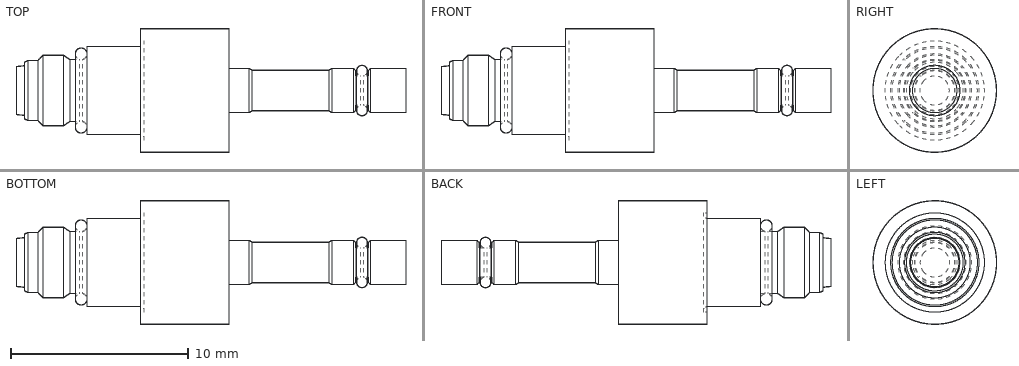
import cadquery as cq
import math

length = 22.0

tip_radius = 1.36
tip_flare_radius = 1.4
tip_length = 0.45
pilot_radius = 3.4 / 2
pilot_chamfer_radius = 1.6
pilot_chamfer_end = 0.65
pilot_end = 1.2
head_radius = 4.0 / 2
head_start = 1.5
head_end = 2.66
shoulder_radius = 1.87
shoulder_end = 2.84
neck_radius = 3.52 / 2
neck_start = 3.01

body_start = 3.98
body_radius = 5.0 / 2
collar_radius = 7.0 / 2
collar_length = 5.02
collar_start = 7.0
collar_end = collar_start + collar_length
recess_radius = 5.6 / 2
recess_depth = 0.2
recess_fillet = 0.18

shaft_radius = 2.5 / 2
waist_radius = 2.3 / 2
waist_start = 13.13
waist_end = 17.82
waist_taper_length = 0.18

nose_ring_section_radius = 0.33
nose_ring_center = body_start - nose_ring_section_radius
tail_ring_section_radius = 0.3
tail_ring_center = 19.51
groove_floor_radius = 1.65 / 2
groove_width = 0.7
groove_chamfer = 0.13


def revolve_about_x(profile):
    """Turn a closed profile of (x, radius) about the X axis."""
    return profile.revolve(360, (0, 0, 0), (1, 0, 0))


def seal_ring(center, inner_radius, section_radius):
    """Round-section ring whose inside touches inner_radius."""
    section = cq.Workplane("XY").center(center, inner_radius + section_radius).circle(section_radius)
    return section.revolve(360, (0, -inner_radius - section_radius, 0), (1, -inner_radius - section_radius, 0))


groove_start = tail_ring_center - groove_width / 2
groove_end = tail_ring_center + groove_width / 2

recess_floor = collar_start + recess_depth
fillet_start = recess_floor - recess_fillet
fillet_middle_offset = recess_fillet * math.sqrt(0.5)
fillet_middle = (
    fillet_start + fillet_middle_offset,
    body_radius + recess_fillet - fillet_middle_offset,
)

nose_outline = [
    (0, 0),
    (0, tip_radius),
    (tip_length, tip_flare_radius),
    (tip_length, pilot_chamfer_radius),
    (pilot_chamfer_end, pilot_radius),
    (pilot_end, pilot_radius),
    (head_start, head_radius),
    (head_end, head_radius),
    (shoulder_end, shoulder_radius),
    (neck_start, neck_radius),
    (body_start, neck_radius),
    (body_start, body_radius),
    (fillet_start, body_radius),
]
collar_and_tail_outline = [
    (recess_floor, recess_radius),
    (collar_start, recess_radius),
    (collar_start, collar_radius),
    (collar_end, collar_radius),
    (collar_end, shaft_radius),
    (waist_start, shaft_radius),
    (waist_start + waist_taper_length, waist_radius),
    (waist_end - waist_taper_length, waist_radius),
    (waist_end, shaft_radius),
    (groove_start - groove_chamfer, shaft_radius),
    (groove_start, shaft_radius - groove_chamfer),
    (groove_start, groove_floor_radius),
    (groove_end, groove_floor_radius),
    (groove_end, shaft_radius - groove_chamfer),
    (groove_end + groove_chamfer, shaft_radius),
    (length, shaft_radius),
    (length, 0),
]
core_profile = (
    cq.Workplane("XY")
    .polyline(nose_outline)
    .threePointArc(fillet_middle, (recess_floor, body_radius + recess_fillet))
    .polyline(collar_and_tail_outline, includeCurrent=True)
    .close()
)
core = revolve_about_x(core_profile)

seating_overlap = 0.01
nose_ring = seal_ring(nose_ring_center, neck_radius - seating_overlap, nose_ring_section_radius)
tail_ring = seal_ring(tail_ring_center, groove_floor_radius - seating_overlap, tail_ring_section_radius)

result = core.union(nose_ring).union(tail_ring)